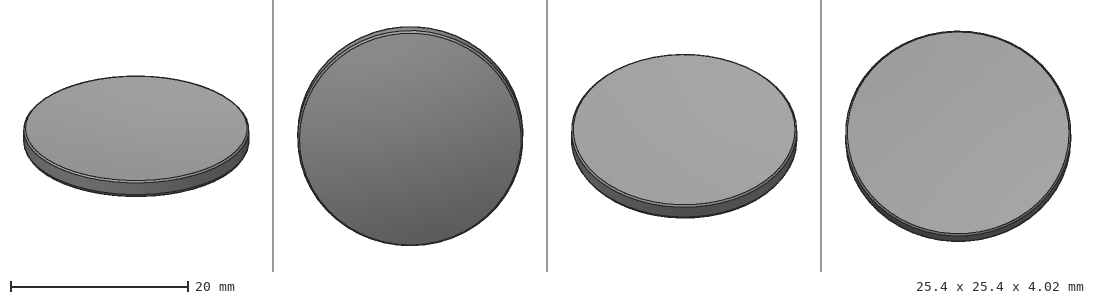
import cadquery as cq
import math

lens_diameter = 25.4
overall_height = 4.02
convex_radius = 40.6
concave_radius = 106.9
bevel_width = 0.2
top_bevel_height = 0.2
bottom_bevel_height = 0.36

rim_radius = lens_diameter / 2
face_radius = rim_radius - bevel_width


def sag(sphere_radius, distance_from_axis):
    """Rise of a spherical face above its vertex at a distance from the axis."""
    return sphere_radius - math.sqrt(sphere_radius**2 - distance_from_axis**2)


convex_edge_z = sag(convex_radius, face_radius)
concave_vertex_z = overall_height - sag(concave_radius, face_radius)

halfway_out = face_radius / 2
convex_midpoint = (halfway_out, sag(convex_radius, halfway_out))
concave_midpoint = (halfway_out, concave_vertex_z + sag(concave_radius, halfway_out))

half_section = (
    cq.Workplane("XZ")
    .moveTo(0, 0)
    .threePointArc(convex_midpoint, (face_radius, convex_edge_z))
    .lineTo(rim_radius, convex_edge_z + bottom_bevel_height)
    .lineTo(rim_radius, overall_height - top_bevel_height)
    .lineTo(face_radius, overall_height)
    .threePointArc(concave_midpoint, (0, concave_vertex_z))
    .close()
)

result = half_section.revolve(360, (0, 0, 0), (0, 1, 0))